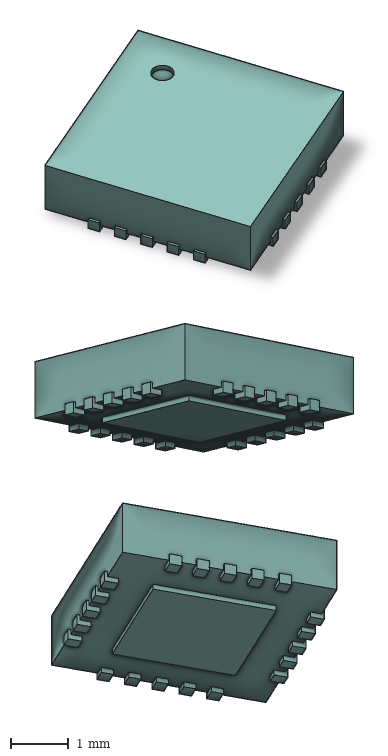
import cadquery as cq

overall_width = 4.0
overall_height = 1.1
lead_protrusion = 0.05
standoff = 0.1
body_width = overall_width - 2 * lead_protrusion
body_height = overall_height - standoff

lead_count = 5
lead_pitch = 0.5
lead_width = 0.22
lead_length = 0.25
lead_height = 0.2

pad_width = 2.24

marker_diameter = 0.4
marker_depth = 0.1
marker_inset = 0.85


def block(length, width, height, bottom):
    """Box centred on the Z axis with its underside at the given height."""
    base = cq.Workplane("XY", origin=(0, 0, bottom))
    return base.box(length, width, height, centered=(True, True, False))


def make_body():
    """Square package body with the round marker recess near its -X, +Y corner."""
    marker_offset = body_width / 2 - marker_inset
    marker = (
        cq.Workplane("XY", origin=(-marker_offset, marker_offset, overall_height - marker_depth))
        .circle(marker_diameter / 2)
        .extrude(marker_depth)
    )
    return block(body_width, body_width, body_height, standoff).cut(marker)


def make_lead_row():
    """Row of leads along the -Y side, each partly embedded in the body."""
    lead_center_y = -(overall_width - lead_length) / 2
    row = cq.Workplane("XY")
    for index in range(lead_count):
        lead_x = (index - (lead_count - 1) / 2) * lead_pitch
        lead = block(lead_width, lead_length, lead_height, 0)
        row = row.add(lead.translate((lead_x, lead_center_y, 0)))
    return row.combine()


exposed_pad = block(pad_width, pad_width, standoff, 0)
result = make_body().union(exposed_pad)

lead_row = make_lead_row()
for side_angle in (0, 90, 180, 270):
    result = result.union(lead_row.rotate((0, 0, 0), (0, 0, 1), side_angle))